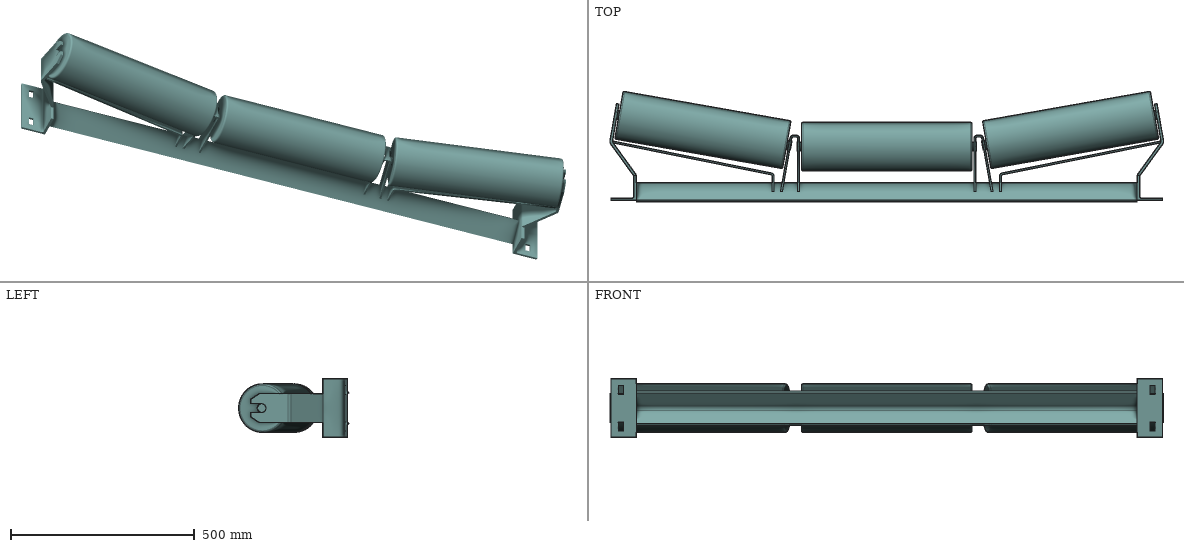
import cadquery as cq
import math


roller_radius = 66.0
roller_length = 463.0
roller_edge_radius = 5.0
shaft_radius = 12.0
shaft_length = 488.0
centre_axis_y = 98.0
wing_x = 500.0
wing_y = 143.0
wing_tilt = 10.0

beam_half_length = 680.0
beam_leg = 66.0
beam_thickness = 8.0
beam_root_radius = 9.0

bend_radius = 5.0
bar_width = 50.0
bar_end_y = -bar_width

saddle_thickness = 5.3
saddle_gap = 8.0
saddle_top = 126.0

arm_width = 78.0
end_thickness = 8.0
fork_gap = 8.3
fork_height = 30.0
fork_corner_width = 15.0
fork_corner_height = 23.0
arm_foot_y = 20.0
arm_top_y = 110.0
foot_width = 160.0
foot_tip_x = 750.0
foot_bottom_y = -48.0
foot_thickness = 6.0
foot_corner_radius = 5.0
foot_hole_width = 14.0
foot_hole_height = 24.0
foot_hole_x = 722.0
foot_hole_z = 50.0

strut_thickness = 5.3
strut_inner_x = 308.0
strut_inner_y = 23.0
strut_slope = 11.4

tilt_cos = math.cos(math.radians(wing_tilt))
tilt_sin = math.sin(math.radians(wing_tilt))


def wing_point(along, up):
    """Point of the +X outer roller's own frame: along its axis outwards, and up across it."""
    x = wing_x + along * tilt_cos - up * tilt_sin
    y = wing_y + along * tilt_sin + up * tilt_cos
    return x, y


def wing_point_at_y(along, y):
    """Point at a given Y on the cross plane of the +X outer roller at `along`."""
    up = (y - wing_y - along * tilt_sin) / tilt_cos
    return wing_point(along, up)


def place_on_wing(body):
    """Move a body from the origin on to the +X outer roller axis."""
    return body.rotate((0, 0, 0), (0, 0, 1), wing_tilt).translate((wing_x, wing_y, 0))


def bent_plate(middle_line, thickness, width):
    """Plate of constant thickness along a polyline in XY, centred on Z, with rounded bends."""
    normals = []
    for (x0, y0), (x1, y1) in zip(middle_line, middle_line[1:]):
        length = math.hypot(x1 - x0, y1 - y0)
        normals.append(((y0 - y1) / length, (x1 - x0) / length))
    left = []
    right = []
    inner_corners = []
    outer_corners = []
    for i, (x, y) in enumerate(middle_line):
        before = normals[max(i - 1, 0)]
        after = normals[min(i, len(normals) - 1)]
        scale = thickness / 2 / (1 + before[0] * after[0] + before[1] * after[1])
        dx = (before[0] + after[0]) * scale
        dy = (before[1] + after[1]) * scale
        left.append((x + dx, y + dy))
        right.append((x - dx, y - dy))
        if 0 < i < len(middle_line) - 1:
            turns_left = before[0] * after[1] > before[1] * after[0]
            inner_corners.append(left[i] if turns_left else right[i])
            outer_corners.append(right[i] if turns_left else left[i])
    plate = cq.Workplane("XY").polyline(left + right[::-1]).close().extrude(width / 2, both=True)
    for corners, radius in ((inner_corners, bend_radius), (outer_corners, bend_radius + thickness)):
        for x, y in corners:
            plate = plate.edges("|Z").edges(cq.NearestToPointSelector((x, y, 0))).fillet(radius)
    return plate


def shaft_slot(length):
    """Cutter along X at the origin: a shaft-wide slot with a round bottom, open towards +Y."""
    bottom = cq.Workplane("YZ").circle(shaft_radius).extrude(length / 2, both=True)
    opening = cq.Workplane("XY").box(length, roller_radius, 2 * shaft_radius, centered=(True, False, True))
    return bottom.union(opening)


def cylinder(radius, length):
    """Cylinder along X, centred on the origin."""
    return cq.Workplane("YZ", origin=(-length / 2, 0, 0)).circle(radius).extrude(length)


def make_roller():
    """Solid roller along X with rounded rims, bored for its shaft."""
    roller = cylinder(roller_radius, roller_length)
    roller = roller.edges().fillet(roller_edge_radius)
    return roller.cut(make_shaft())


def make_shaft():
    return cylinder(shaft_radius, shaft_length)


def beam_envelope():
    """The wedge under the outer faces of the beam, which the straddling plates are notched for."""
    reach = beam_leg
    outline = [(0, 0), (-reach, reach), (-reach, -reach)]
    return cq.Workplane("YZ").polyline(outline).close().extrude(beam_half_length, both=True)


def make_angle_beam():
    section = [
        (0, 0),
        (beam_leg, 0),
        (beam_leg, beam_thickness),
        (beam_thickness, beam_thickness),
        (beam_thickness, beam_leg),
        (0, beam_leg),
    ]
    beam = cq.Workplane("YZ").polyline(section).close().extrude(beam_half_length, both=True)
    root = cq.NearestToPointSelector((0, beam_thickness, beam_thickness))
    beam = beam.edges("|X").edges(root).fillet(beam_root_radius)
    return beam.rotate((0, 0, 0), (1, 0, 0), 135)


def make_saddle():
    """+X saddle fork: an upright leg, a bridge and a leg square to the outer roller."""
    upright_x = roller_length / 2 + saddle_gap
    tilted_along = -upright_x
    middle_line = [
        (upright_x, bar_end_y),
        (upright_x, saddle_top),
        wing_point_at_y(tilted_along, saddle_top),
        wing_point_at_y(tilted_along, bar_end_y),
    ]
    saddle = bent_plate(middle_line, saddle_thickness, bar_width)
    saddle = saddle.cut(beam_envelope())
    slot = shaft_slot(shaft_length)
    return saddle.cut(slot.translate((0, centre_axis_y, 0))).cut(place_on_wing(slot))


def make_end_plate():
    """+X foot, upright, sloping arm and fork as one plate."""
    fork_along = roller_length / 2 + fork_gap
    upright_x = beam_half_length + end_thickness / 2
    middle_line = [
        (upright_x, foot_bottom_y),
        (upright_x, arm_foot_y),
        wing_point_at_y(fork_along, arm_top_y),
        wing_point(fork_along, fork_height),
    ]
    plate = bent_plate(middle_line, end_thickness, foot_width)

    side_width = (foot_width - arm_width) / 2
    for side in (-1, 1):
        side_z = side * (arm_width + side_width) / 2
        trim = cq.Workplane("XY").box(foot_tip_x, foot_tip_x, side_width, centered=(False, False, True))
        plate = plate.cut(trim.translate((beam_half_length - end_thickness, arm_foot_y, side_z)))

    slot = shaft_slot(2 * end_thickness).translate((fork_along, 0, 0))
    plate = plate.cut(place_on_wing(slot))

    half_width = arm_width / 2
    for side in (-1, 1):
        corner = [
            (fork_height, side * (half_width - fork_corner_width)),
            (fork_height, side * half_width),
            (fork_height - fork_corner_height, side * half_width),
        ]
        cutter = cq.Workplane("YZ").polyline(corner).close().extrude(fork_along + end_thickness)
        plate = plate.cut(place_on_wing(cutter))
    return plate.union(make_foot())


def make_foot():
    """+X foot plate with two rectangular fixing holes and a fillet up to the upright."""
    foot_length = foot_tip_x - beam_half_length
    foot_top_y = foot_bottom_y + foot_thickness
    foot = cq.Workplane("XY").box(foot_length, foot_thickness, foot_width, centered=(False, False, True))
    foot = foot.translate((beam_half_length, foot_bottom_y, 0))
    for side in (-1, 1):
        hole = cq.Workplane("XY").box(foot_hole_width, 3 * foot_thickness, foot_hole_height)
        foot = foot.cut(hole.translate((foot_hole_x, foot_bottom_y, side * foot_hole_z)))

    corner_x = beam_half_length + end_thickness
    fillet = (
        cq.Workplane("XY")
        .moveTo(corner_x, foot_top_y)
        .lineTo(corner_x + foot_corner_radius, foot_top_y)
        .radiusArc((corner_x, foot_top_y + foot_corner_radius), foot_corner_radius)
        .close()
        .extrude(foot_width / 2, both=True)
    )
    return foot.union(fillet)


def make_strut():
    """+X tie strut, from the bend below the fork down to the beam."""
    outer_x = wing_point_at_y(roller_length / 2 + fork_gap, arm_top_y)[0]
    rise = (outer_x - strut_inner_x) * math.tan(math.radians(strut_slope))
    middle_line = [
        (strut_inner_x, bar_end_y),
        (strut_inner_x, strut_inner_y),
        (outer_x, strut_inner_y + rise),
    ]
    return bent_plate(middle_line, strut_thickness, bar_width).cut(beam_envelope())


def mirrored(body):
    """The -X twin of a +X body."""
    return body.mirror("YZ")


def make_carrier():
    """Angle beam with the two saddle forks welded on."""
    saddle = make_saddle()
    return make_angle_beam().union(saddle).union(mirrored(saddle))


def make_end_bracket():
    """+X end plate with its tie strut welded on."""
    return make_end_plate().union(make_strut())


def on_three_axes(body):
    """Copies of a body on the centre axis and on both outer axes."""
    wing_body = place_on_wing(body)
    return [body.translate((0, centre_axis_y, 0)), wing_body, mirrored(wing_body)]


carrier = make_carrier()
end_bracket = make_end_bracket()
end_brackets = [end_bracket, mirrored(end_bracket)]
rollers = on_three_axes(make_roller())
shafts = on_three_axes(make_shaft())

bodies = [carrier, *end_brackets, *rollers, *shafts]
result = cq.Compound.makeCompound([body.val() for body in bodies])